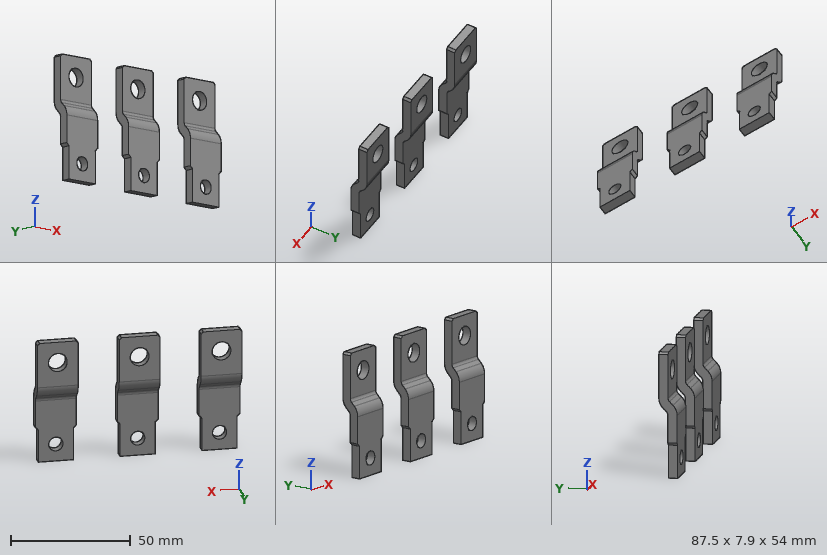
import cadquery as cq
import math

link_count = 3
row_length = 87.5
link_width = 17.5
link_pitch = (row_length - link_width) / (link_count - 1)

link_height = 54.0
total_depth = 7.9
thickness = 4.0
bend_angle = math.radians(45)
inner_radius = 2.0
outer_radius = inner_radius + thickness
bend_start_z = 27.2

top_chamfer = 1.0
tail_width = 15.05
tail_height = 14.2
shoulder_height = tail_height + (link_width - tail_width) / 2

upper_hole_diameter = 8.0
upper_hole_z = link_height - 9.0
lower_hole_diameter = 6.0
lower_hole_z = 7.5

offset = total_depth - thickness
bend_radii_sum = inner_radius + outer_radius
slope_run = offset - bend_radii_sum * (1 - math.cos(bend_angle))
slope_rise = slope_run / math.tan(bend_angle)
bend_end_z = bend_start_z + bend_radii_sum * math.sin(bend_angle) + slope_rise


def bent_strip():
    """Strip of constant thickness, stepped back by two opposite bends, centred on X = 0."""
    lower_y = outer_radius
    upper_y = offset - inner_radius

    def lower_bend(radius, angle):
        return (lower_y - radius * math.cos(angle), bend_start_z + radius * math.sin(angle))

    def upper_bend(radius, angle):
        return (upper_y + radius * math.cos(angle), bend_end_z - radius * math.sin(angle))

    half_angle = bend_angle / 2
    return (
        cq.Workplane("YZ")
        .moveTo(0, 0)
        .lineTo(*lower_bend(outer_radius, 0))
        .threePointArc(lower_bend(outer_radius, half_angle), lower_bend(outer_radius, bend_angle))
        .lineTo(*upper_bend(inner_radius, bend_angle))
        .threePointArc(upper_bend(inner_radius, half_angle), upper_bend(inner_radius, 0))
        .lineTo(offset, link_height)
        .lineTo(total_depth, link_height)
        .lineTo(*upper_bend(outer_radius, 0))
        .threePointArc(upper_bend(outer_radius, half_angle), upper_bend(outer_radius, bend_angle))
        .lineTo(*lower_bend(inner_radius, bend_angle))
        .threePointArc(lower_bend(inner_radius, half_angle), lower_bend(inner_radius, 0))
        .lineTo(thickness, 0)
        .close()
        .extrude(link_width / 2, both=True)
    )


def front_outline():
    """Block with the narrowed tail and chamfered top corners, as deep as the link."""
    right_side = [
        (tail_width / 2, 0),
        (tail_width / 2, tail_height),
        (link_width / 2, shoulder_height),
        (link_width / 2, link_height - top_chamfer),
        (link_width / 2 - top_chamfer, link_height),
    ]
    left_side = [(-x, z) for x, z in reversed(right_side)]
    return cq.Workplane("XZ").polyline(right_side + left_side).close().extrude(-total_depth)


def hole(diameter, z):
    """Round cutter along Y, through the full depth."""
    return cq.Workplane("XZ").center(0, z).circle(diameter / 2).extrude(-total_depth)


def make_link(x):
    """One complete link centred at the given X."""
    link = bent_strip().intersect(front_outline())
    link = link.cut(hole(upper_hole_diameter, upper_hole_z))
    link = link.cut(hole(lower_hole_diameter, lower_hole_z))
    return link.translate((x, 0, 0))


links = []
for index in range(link_count):
    links.append(make_link((index - (link_count - 1) / 2) * link_pitch))

result = cq.Compound.makeCompound([link.val().Solids()[0] for link in links])